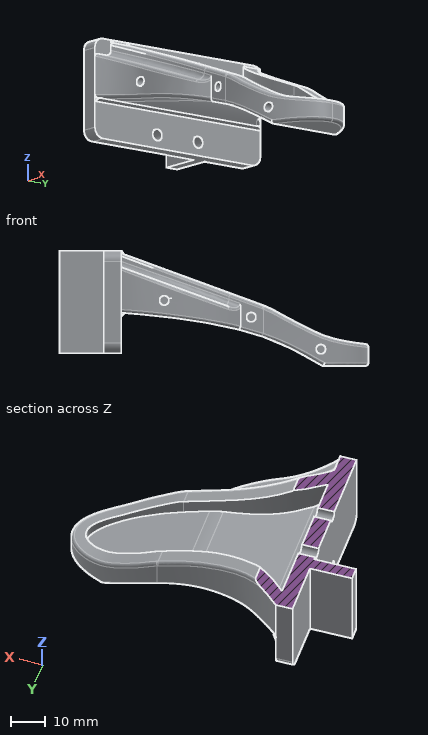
import cadquery as cq

plate_thickness = 5.1
plate_width = 61.0
plate_height = 29.5
plate_corner_radius = 3.0

tab_length = 12.7
tab_thickness = 4.0
tab_inner_y = 10.0

screw_hole_diameter = 3.4
screw_hole_spacing_y = 15.0
screw_hole_spacing_z = 21.6

arm_start_x = plate_thickness
arm_tip_x = 76.1
arm_half_width = 15.1
rim_width = 5.0
straight_start_x = 36.0
nose_start_x = 45.8
plate_edge_y = plate_width / 2
wall_mid_x = 22.1
wall_mid_y = -16.5

tray_tip_x = 71.8
tray_half_width = arm_half_width - rim_width

rim_root_y = -24.6
tray_root_y_plus = 24.6
tray_root_y_minus = -18.7

rim_start_z = 28.75
rim_slope = -0.366
rim_bend_x = nose_start_x
rim_tip_z = 2.6
underside_start_z = 11.6
underside_mid_x = 38.8
underside_mid_z = 6.8
sole_z = -3.66
sole_start_x = 62.9

flange_drop = 4.0
flange_mid_y = -22.9
flange_end = (41.2, -13.6)

edge_radius = 1.0
root_bevel = 1.0
flange_root_radius = 2.0

floor_slope = -0.157
floor_bend_x = 36.0
floor_bend_z = 13.2
floor_end_z = -0.65
floor_bend_radius = 20.0
floor_root_radius = 4.0

side_hole_diameter = 2.7
side_hole_depth = 4.0
side_holes = [(17.4, 15.2, -23.5), (42.4, 10.4, -15.1), (62.4, 1.2, -12.5)]

clearance = 40.0


def rim_z(x):
    """Height of the straight stretch of the rim at x."""
    return rim_start_z + rim_slope * (x - arm_start_x)


def nearest(point):
    """Selector for the face or edge whose centre lies closest to a point."""
    return cq.selectors.NearestToPointSelector(point)


def make_plate():
    plate = (
        cq.Workplane("YZ")
        .center(0, plate_height / 2)
        .rect(plate_width, plate_height)
        .extrude(plate_thickness)
        .edges("|X")
        .fillet(plate_corner_radius)
    )
    tab = cq.Workplane("XY").box(tab_length, tab_thickness, plate_height, centered=False)
    return plate.union(tab.translate((-tab_length, tab_inner_y, 0)))


def screw_holes():
    return (
        cq.Workplane("YZ")
        .center(0, plate_height / 2)
        .rarray(screw_hole_spacing_y, screw_hole_spacing_z, 2, 2)
        .circle(screw_hole_diameter / 2)
        .extrude(plate_thickness)
    )


def extrude_plan(outline):
    """Upright prism on an XY outline."""
    return outline.close().extrude(2 * clearance).translate((0, 0, -clearance))


def extrude_side(outline):
    """Prism along Y on an XZ outline, centred on Y = 0."""
    return outline.close().extrude(2 * clearance).translate((0, clearance, 0))


def rounded_nose(outline, tip_x, half_width):
    """Half ellipse from the +Y edge round the tip to the -Y edge."""
    length = tip_x - nose_start_x
    outline = outline.ellipseArc(length, half_width, 0, 90, sense=-1)
    return outline.ellipseArc(length, half_width, -90, 0, sense=-1)


def arm_plan():
    outline = (
        cq.Workplane("XY")
        .moveTo(arm_start_x, plate_edge_y)
        .spline(
            [(10.8, 25.6), (17.5, 20.9), (28.2, 16.9), (nose_start_x, arm_half_width)],
            tangents=[(1, -1), (1, 0)],
            includeCurrent=True,
        )
    )
    outline = rounded_nose(outline, arm_tip_x, arm_half_width)
    outline = outline.lineTo(straight_start_x, -arm_half_width).spline(
        [(wall_mid_x, wall_mid_y), (11.1, -20.6), (arm_start_x, rim_root_y)],
        tangents=[(-1, 0), (-1, -0.75)],
        includeCurrent=True,
    )
    return extrude_plan(outline)


def tray_plan():
    outline = (
        cq.Workplane("XY")
        .moveTo(arm_start_x, tray_root_y_plus)
        .spline(
            [(8.8, 21.2), (25.5, 12.4), (nose_start_x, tray_half_width)],
            tangents=[(1, -1), (1, 0)],
            includeCurrent=True,
        )
    )
    outline = rounded_nose(outline, tray_tip_x, tray_half_width).spline(
        [(33.5, -tray_half_width), (16.1, -12.5), (arm_start_x, tray_root_y_minus)],
        tangents=[(-1, 0), (-1, -0.75)],
        includeCurrent=True,
    )
    return extrude_plan(outline)


def flange_plan():
    outline = (
        cq.Workplane("XY")
        .moveTo(arm_start_x, -plate_edge_y)
        .spline(
            [(10.8, -26.2), (17.8, -23.55), (wall_mid_x, flange_mid_y), (33.5, -19.3), flange_end],
            tangents=[(1, 1), (1, 0.8)],
            includeCurrent=True,
        )
        .lineTo(flange_end[0], -tray_half_width)
        .lineTo(arm_start_x, -tray_half_width)
    )
    return extrude_plan(outline)


def underside(outline):
    """Continue an outline from the tip along the sole and the underside to the plate."""
    return (
        outline.lineTo(arm_tip_x, sole_z)
        .lineTo(sole_start_x, sole_z)
        .spline(
            [
                (54.0, 1.3),
                (45.9, 4.7),
                (underside_mid_x, underside_mid_z),
                (20.5, 10.1),
                (arm_start_x, underside_start_z),
            ],
            tangents=[(-1, 0.58), (-1, 0.07)],
            includeCurrent=True,
        )
    )


def arm_side():
    outline = (
        cq.Workplane("XZ")
        .moveTo(arm_start_x, rim_z(arm_start_x))
        .lineTo(rim_bend_x, rim_z(rim_bend_x))
        .spline(
            [(51.9, 10.75), (57.0, 8.1), (63.3, 5.15), (70.3, 3.4), (arm_tip_x, rim_tip_z)],
            tangents=[(1, rim_slope), (1, -0.13)],
            includeCurrent=True,
        )
    )
    return extrude_side(underside(outline))


def flange_side():
    outline = (
        cq.Workplane("XZ")
        .moveTo(arm_start_x, rim_z(arm_start_x) - flange_drop)
        .lineTo(arm_tip_x, rim_z(arm_tip_x) - flange_drop)
    )
    return extrude_side(underside(outline))


def floor_space():
    """Space above the tray floor: two slopes blended together and into the plate."""
    floor_start_z = floor_bend_z - floor_slope * (floor_bend_x - arm_start_x)
    outline = (
        cq.Workplane("XZ")
        .moveTo(arm_start_x, plate_height + clearance)
        .lineTo(arm_start_x, floor_start_z)
        .lineTo(floor_bend_x, floor_bend_z)
        .lineTo(tray_tip_x, floor_end_z)
        .lineTo(tray_tip_x, plate_height + clearance)
    )
    space = extrude_side(outline)
    space = space.edges(nearest((arm_start_x, 0, floor_start_z))).fillet(floor_root_radius)
    return space.edges(nearest((floor_bend_x, 0, floor_bend_z))).fillet(floor_bend_radius)


def plate_shadow():
    """Rounded plate outline run along the arm and open downward."""
    return (
        cq.Workplane("YZ")
        .rect(plate_width, 2 * plate_height)
        .extrude(2 * clearance)
        .edges("|X and >Z")
        .fillet(plate_corner_radius)
    )


def side_hole(x, z, surface_y):
    overshoot = side_hole_depth
    hole = cq.Workplane("XZ").circle(side_hole_diameter / 2).extrude(side_hole_depth + overshoot)
    return hole.translate((x, surface_y + side_hole_depth, z))


def make_body():
    """Nose and rim of the arm, with the sides of its underside and sole rounded."""
    body = arm_plan().intersect(arm_side())
    under_faces = body.faces("<Z").add(body.faces(nearest((underside_mid_x, 0, underside_mid_z))))
    return under_faces.edges("not |Y").fillet(edge_radius)


def make_flange():
    """Side flange with the sides of its underside rounded."""
    flange = flange_plan().intersect(flange_side())
    under_face = flange.faces(nearest((wall_mid_x, wall_mid_y, underside_mid_z)))
    return under_face.edges("not |Y").fillet(edge_radius)


def root_blend():
    """Small bevels above and below the arm where it meets the plate."""
    top_end_x = arm_start_x + plate_height - rim_start_z
    above = cq.Workplane("XZ").polyline(
        [(arm_start_x, rim_start_z), (arm_start_x, plate_height), (top_end_x, rim_z(top_end_x))]
    )
    bottom_end = (arm_start_x + root_bevel, underside_start_z)
    below = cq.Workplane("XZ").polyline(
        [(arm_start_x, underside_start_z), (arm_start_x, underside_start_z - root_bevel), bottom_end]
    )
    blend_above = extrude_side(above).intersect(arm_plan())
    blend_below = extrude_side(below).intersect(arm_plan().union(flange_plan()))
    return blend_above.union(blend_below)


def round_flange_root(arm):
    """Blend the top of the flange into the wall of the rim."""
    root_z = rim_z(wall_mid_x) - flange_drop
    return arm.edges(nearest((wall_mid_x, wall_mid_y, root_z))).fillet(flange_root_radius)


def round_top(arm):
    """Round the outer edges of the rim and of the flange."""
    flange_edge = (wall_mid_x, flange_mid_y, rim_z(wall_mid_x) - flange_drop)
    rim_outer_edge = (wall_mid_x, -wall_mid_y, rim_z(wall_mid_x))
    straight_mid_x = (straight_start_x + nose_start_x) / 2
    rim_straight_edge = (straight_mid_x, -arm_half_width, rim_z(straight_mid_x))
    edges = arm.edges(nearest(flange_edge))
    edges = edges.add(arm.edges(nearest(rim_outer_edge)))
    edges = edges.add(arm.edges(nearest(rim_straight_edge)))
    return edges.fillet(edge_radius)


def make_arm():
    arm = make_body().union(make_flange())
    arm = round_top(round_flange_root(arm))
    arm = arm.union(root_blend()).intersect(plate_shadow())
    arm = arm.cut(tray_plan().intersect(floor_space()))
    for x, z, surface_y in side_holes:
        arm = arm.cut(side_hole(x, z, surface_y))
    return arm


result = make_plate().cut(screw_holes()).union(make_arm())